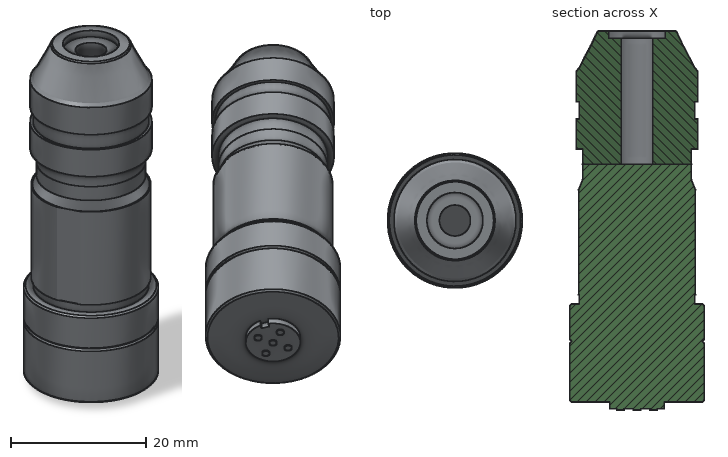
import cadquery as cq

face_z = 0.15
nut_bottom = 1.2
nut_groove_z = 10.15
nut_top = 15.7
barrel_bottom = 17.0
barrel_top = 32.55
shoulder_top = 34.05
parting_z = 36.35
lower_ring_bottom = 38.5
lower_ring_top = 43.0
upper_ring_bottom = 45.5
upper_ring_top = 50.05
nose_bottom = 50.55
total_height = 56.0

nut_radius = 9.95
barrel_radius = 8.85
groove_radius = 8.55
neck_radius = 8.05
ring_radius = 9.0
nose_base_radius = 8.55
nose_tip_radius = 5.95

nut_chamfer = 0.3
nose_tip_chamfer = 0.2
nose_sag = 0.05

flat_depth = 0.195
flat_distance = barrel_radius - flat_depth

insert_radius = 4.05
key_width = 1.25
key_depth = 0.7
contact_radius = 0.55
contact_circle_radius = 2.45
side_contacts = 4

recess_radius = 4.15
recess_depth = 1.05
cable_hole_radius = 2.3


def disc(radius, bottom, top):
    """Plain cylinder on the axis between two heights."""
    return cq.Workplane("XY").workplane(offset=bottom).circle(radius).extrude(top - bottom)


def make_coupling_nut():
    """Ring at the plug end, with chamfered rims and a V-groove around it."""
    chamfer_root = nut_radius - nut_chamfer
    return (
        cq.Workplane("XZ")
        .moveTo(0, nut_bottom)
        .lineTo(chamfer_root, nut_bottom)
        .lineTo(nut_radius, nut_bottom + nut_chamfer)
        .lineTo(nut_radius, nut_groove_z - nut_chamfer)
        .lineTo(chamfer_root, nut_groove_z)
        .lineTo(nut_radius, nut_groove_z + nut_chamfer)
        .lineTo(nut_radius, nut_top - nut_chamfer)
        .lineTo(chamfer_root, nut_top)
        .lineTo(0, nut_top)
        .close()
        .revolve(360, (0, 0, 0), (0, 1, 0))
    )


def make_barrel():
    """Grip cylinder with a flat on the -Y and +Y sides."""
    flats = cq.Workplane("XY").workplane(offset=barrel_bottom).rect(2 * nut_radius, 2 * flat_distance)
    barrel = disc(barrel_radius, barrel_bottom, barrel_top)
    return barrel.intersect(flats.extrude(barrel_top - barrel_bottom))


def make_shoulder():
    """Cone from the flats' distance at the barrel up to the neck."""
    return (
        cq.Workplane("XY").workplane(offset=barrel_top).circle(flat_distance)
        .workplane(offset=shoulder_top - barrel_top).circle(neck_radius)
        .loft(ruled=True)
    )


def make_insert():
    """Contact carrier with a coding slot on the (-X, +Y) diagonal and five raised contacts."""
    insert = disc(insert_radius, face_z, nut_bottom)
    key_slot = (
        cq.Workplane("XY").workplane(offset=face_z)
        .center(-insert_radius, 0)
        .rect(2 * key_depth, key_width)
        .extrude(nut_bottom - face_z)
        .rotate((0, 0, 0), (0, 0, 1), -45)
    )
    contacts = (
        cq.Workplane("XY")
        .polarArray(contact_circle_radius, 0, 360, side_contacts)
        .circle(contact_radius)
        .extrude(face_z)
    )
    return insert.cut(key_slot).union(contacts).union(disc(contact_radius, 0, face_z))


def make_housing():
    """Connector housing: contact insert, coupling nut, barrel and neck in one solid."""
    return (
        make_coupling_nut()
        .union(disc(groove_radius, nut_top, barrel_bottom))
        .union(make_barrel())
        .union(make_shoulder())
        .union(disc(neck_radius, shoulder_top, parting_z))
        .union(make_insert())
    )


def make_gland_nut():
    """Cable gland nut: neck, two grip rings and a tapering nose with the cable entry."""
    tip_z = total_height - nose_tip_chamfer
    flank_mid_radius = (nose_base_radius + nose_tip_radius) / 2 - nose_sag
    flank_mid_z = (nose_bottom + tip_z) / 2
    gland_nut = (
        cq.Workplane("XZ")
        .moveTo(0, parting_z)
        .lineTo(neck_radius, parting_z)
        .lineTo(neck_radius, lower_ring_bottom)
        .lineTo(ring_radius, lower_ring_bottom)
        .lineTo(ring_radius, lower_ring_top)
        .lineTo(groove_radius, lower_ring_top)
        .lineTo(groove_radius, upper_ring_bottom)
        .lineTo(ring_radius, upper_ring_bottom)
        .lineTo(ring_radius, upper_ring_top)
        .lineTo(nose_base_radius, nose_bottom)
        .threePointArc((flank_mid_radius, flank_mid_z), (nose_tip_radius, tip_z))
        .lineTo(nose_tip_radius - nose_tip_chamfer, total_height)
        .lineTo(0, total_height)
        .close()
        .revolve(360, (0, 0, 0), (0, 1, 0))
    )
    recess = disc(recess_radius, total_height - recess_depth, total_height)
    cable_hole = disc(cable_hole_radius, parting_z, total_height)
    return gland_nut.cut(recess).cut(cable_hole)


housing = make_housing()
gland_nut = make_gland_nut()

result = cq.Compound.makeCompound([housing.val(), gland_nut.val()])